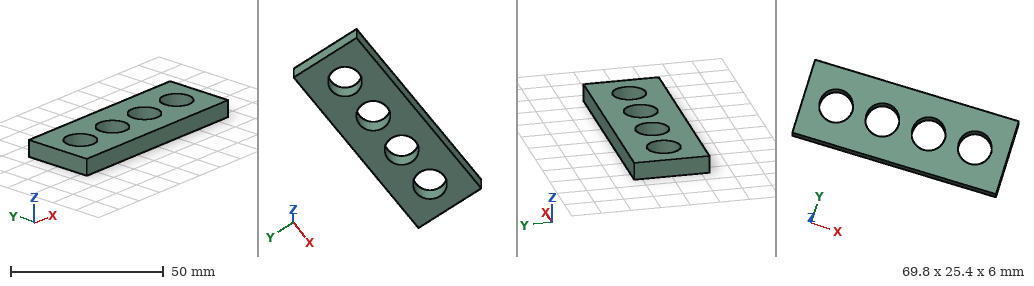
import cadquery as cq

length = 69.85
width = 25.4
thickness = 6.0

hole_count = 4
hole_diameter = 11.1
hole_pitch = 15.85

plate = cq.Workplane("XY").box(length, width, thickness)

result = (
    plate.faces(">Z")
    .workplane()
    .rarray(hole_pitch, 0.7, hole_count, 1)
    .hole(hole_diameter)
)